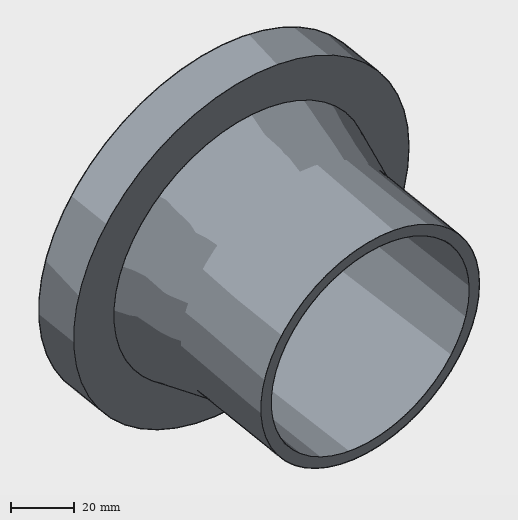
import cadquery as cq

flange_diameter = 138.0
flange_thickness = 17.1
neck_base_diameter = 104.9
neck_end = 41.1
pipe_diameter = 90.0
bore_diameter = 81.4
total_length = 80.0

flange_radius = flange_diameter / 2
neck_base_radius = neck_base_diameter / 2
pipe_radius = pipe_diameter / 2
bore_radius = bore_diameter / 2

wall_section = (
    cq.Workplane("XY")
    .moveTo(0, bore_radius)
    .lineTo(0, flange_radius)
    .lineTo(flange_thickness, flange_radius)
    .lineTo(flange_thickness, neck_base_radius)
    .lineTo(neck_end, pipe_radius)
    .lineTo(total_length, pipe_radius)
    .lineTo(total_length, bore_radius)
    .close()
)

result = wall_section.revolve(360, (0, 0, 0), (1, 0, 0))